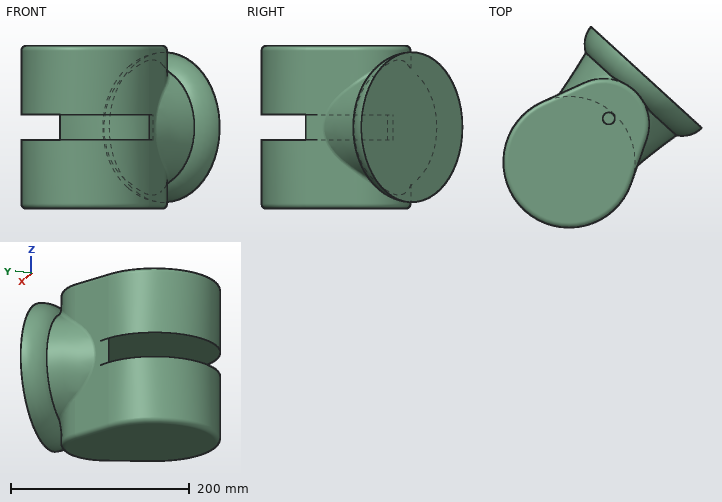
import cadquery as cq
import math

height = 182.3
wheel_radius = 73.5
nose_radius = 51.0
nose_offset = 57.2
edge_radius = 5.6
gap_height = 28.4

heading = 47.6

neck_start = 40.5
neck_start_radius = 57.9
neck_end = 102.9
neck_end_radius = 68.7
flange_bulge = 116.4
flange_bulge_radius = 81.0
flange_face = 128.3
flange_radius = 84.0
neck_fillet = 4.5

mark_offset = 66.0
mark_radius = 6.8
mark_depth = 0.2


def make_body():
    """Teardrop prism with its length along X and rounded top and bottom edges."""
    angle = math.acos((wheel_radius - nose_radius) / nose_offset)
    wheel_x = wheel_radius * math.cos(angle)
    wheel_y = wheel_radius * math.sin(angle)
    nose_x = nose_offset + nose_radius * math.cos(angle)
    nose_y = nose_radius * math.sin(angle)
    return (
        cq.Workplane("XY")
        .workplane(offset=-height / 2)
        .moveTo(wheel_x, wheel_y)
        .threePointArc((-wheel_radius, 0), (wheel_x, -wheel_y))
        .lineTo(nose_x, -nose_y)
        .threePointArc((nose_offset + nose_radius, 0), (nose_x, nose_y))
        .close()
        .extrude(height)
        .faces("<Z or >Z")
        .edges()
        .fillet(edge_radius)
    )


def make_flange():
    """Neck and bulging flange revolved about the X axis."""
    return (
        cq.Workplane("XY")
        .moveTo(neck_start, 0)
        .lineTo(neck_start, neck_start_radius)
        .lineTo(neck_end, neck_end_radius)
        .threePointArc((flange_bulge, flange_bulge_radius), (flange_face, flange_radius))
        .lineTo(flange_face, 0)
        .close()
        .revolve(360, (0, 0, 0), (1, 0, 0))
    )


def join_with_fillet(body, flange):
    """Unite body and flange, rounding the seam where the neck leaves the body."""
    joined = body.union(flange)
    seam = [
        edge
        for edge in joined.edges().vals()
        if edge.BoundingBox().xmax < neck_end
        and abs(edge.Center().z) < height / 2 - 2 * edge_radius
        and edge.geomType() not in ("LINE", "CIRCLE")
    ]
    return joined.newObject(seam).fillet(neck_fillet)


part = join_with_fillet(make_body(), make_flange())

gap = cq.Workplane("XY").circle(wheel_radius).extrude(gap_height / 2, both=True)
part = part.cut(gap)

mark = (
    cq.Workplane("XY")
    .workplane(offset=height / 2 - mark_depth)
    .center(mark_offset, 0)
    .circle(mark_radius)
    .extrude(mark_depth)
)
part = part.cut(mark)

result = part.rotate((0, 0, 0), (0, 0, 1), heading)